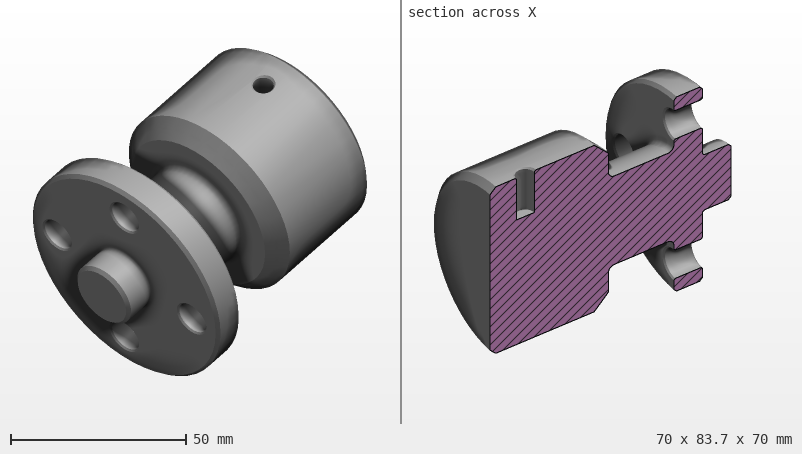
import cadquery as cq

total_length = 83.7
pin_length = 10.0
flange_thickness = 10.05
neck_length = 22.5
flange_front = pin_length
flange_back = flange_front + flange_thickness
body_front = flange_back + neck_length

pin_diameter = 20.0
flange_diameter = 70.0
neck_diameter = 32.0
body_diameter = 60.0
pin_radius = pin_diameter / 2
flange_radius = flange_diameter / 2
neck_radius = neck_diameter / 2
body_radius = body_diameter / 2

small_edge = 1.0
large_edge = 2.0
body_front_chamfer = 5.0

flange_hole_diameter = 10.05
flange_hole_circle_radius = 25.0
flange_hole_count = 4
flange_hole_chamfer = 0.5

radial_hole_diameter = 6.0
radial_hole_y = 71.4
radial_hole_depth = 15.1
radial_hole_mouth_diameter = 7.2


def turned_body():
    """Revolve the half profile, with concave fillets at the steps."""
    profile = (
        cq.Workplane("XY")
        .moveTo(0, 0)
        .lineTo(pin_radius - small_edge, 0)
        .lineTo(pin_radius, small_edge)
        .lineTo(pin_radius, flange_front - small_edge)
        .radiusArc((pin_radius + small_edge, flange_front), small_edge)
        .lineTo(flange_radius - small_edge, flange_front)
        .lineTo(flange_radius, flange_front + small_edge)
        .lineTo(flange_radius, flange_back - small_edge)
        .lineTo(flange_radius - small_edge, flange_back)
        .lineTo(neck_radius + large_edge, flange_back)
        .radiusArc((neck_radius, flange_back + large_edge), large_edge)
        .lineTo(neck_radius, body_front - large_edge)
        .radiusArc((neck_radius + large_edge, body_front), large_edge)
        .lineTo(body_radius - body_front_chamfer, body_front)
        .lineTo(body_radius, body_front + body_front_chamfer)
        .lineTo(body_radius, total_length - large_edge)
        .lineTo(body_radius - large_edge, total_length)
        .lineTo(0, total_length)
        .close()
    )
    return profile.revolve(360, (0, 0, 0), (0, 1, 0))


def flange_hole_cutter():
    """Through holes around the pin, chamfered at both flange faces."""
    hole = (
        cq.Workplane("XZ", origin=(0, flange_back, 0))
        .polarArray(flange_hole_circle_radius, 0, 360, flange_hole_count)
        .circle(flange_hole_diameter / 2)
        .extrude(flange_thickness)
    )
    mouth_radius = flange_hole_diameter / 2 + flange_hole_chamfer
    for face_y, inward in ((flange_front, 1), (flange_back, -1)):
        mouths = (
            cq.Workplane(cq.Plane((0, face_y, 0), (1, 0, 0), (0, inward, 0)))
            .polarArray(flange_hole_circle_radius, 0, 360, flange_hole_count)
            .circle(mouth_radius)
            .extrude(flange_hole_chamfer, taper=45)
        )
        hole = hole.union(mouths)
    return hole


def radial_hole_cutter():
    """Blind hole from the top of the body with a conical mouth."""
    hole_radius = radial_hole_diameter / 2
    mouth_radius = radial_hole_mouth_diameter / 2
    mouth_depth = mouth_radius - hole_radius
    profile = (
        cq.Workplane("XZ")
        .moveTo(0, body_radius)
        .lineTo(mouth_radius, body_radius)
        .lineTo(hole_radius, body_radius - mouth_depth)
        .lineTo(hole_radius, body_radius - radial_hole_depth)
        .lineTo(0, body_radius - radial_hole_depth)
        .close()
    )
    cutter = profile.revolve(360, (0, 0, 0), (0, 1, 0))
    return cutter.translate((0, radial_hole_y, 0))


result = turned_body().cut(flange_hole_cutter()).cut(radial_hole_cutter())
result = result.translate((0, -total_length / 2, 0))